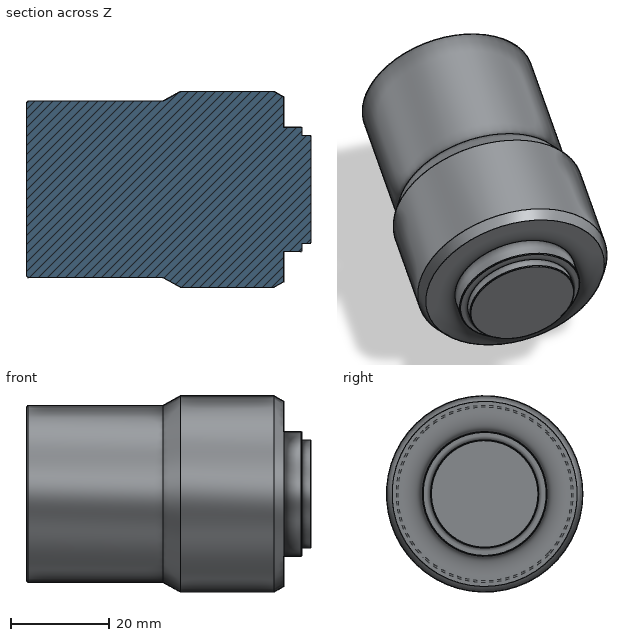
import cadquery as cq

total_length = 57.95
cone_start = 27.8
cone_end = 31.4
shoulder_face = 52.4
spigot_end = 56.1

barrel_radius = 18.0
head_radius = 20.0
spigot_radius = 12.7
tip_radius = 11.0

small_chamfer = 0.35
head_chamfer_length = 2.0
head_chamfer_depth = 1.15
spigot_chamfer = 0.2

left_end = -total_length / 2

profile = [
    (0, 0),
    (0, barrel_radius - small_chamfer),
    (small_chamfer, barrel_radius),
    (cone_start, barrel_radius),
    (cone_end, head_radius),
    (shoulder_face - head_chamfer_length, head_radius),
    (shoulder_face, head_radius - head_chamfer_depth),
    (shoulder_face, spigot_radius),
    (spigot_end - spigot_chamfer, spigot_radius),
    (spigot_end, spigot_radius - spigot_chamfer),
    (spigot_end, tip_radius),
    (total_length - spigot_chamfer, tip_radius),
    (total_length, tip_radius - spigot_chamfer),
    (total_length, 0),
]

result = (
    cq.Workplane("XY", origin=(left_end, 0, 0))
    .polyline(profile)
    .close()
    .revolve(360, (0, 0, 0), (1, 0, 0))
)